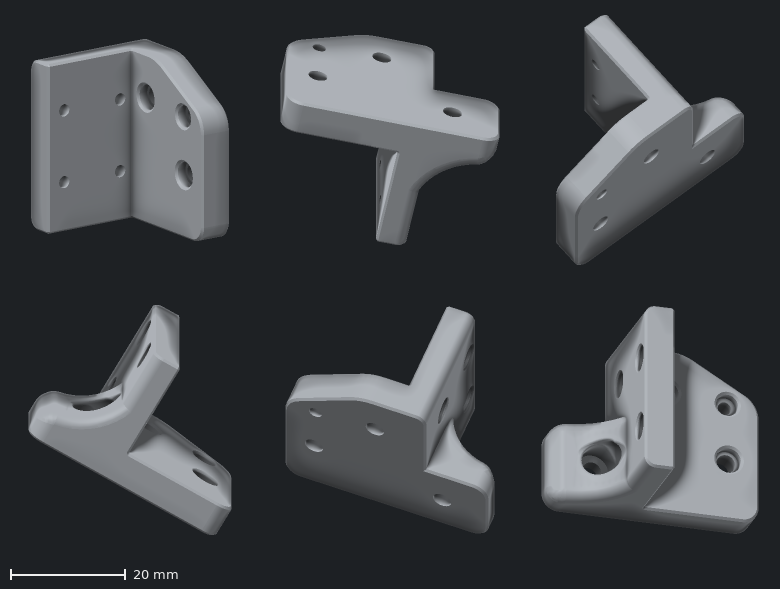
import cadquery as cq
import math


LENGTH = 38.0
DEPTH = 24.0
HEIGHT = 30.74
EDGE_CHAMFER = 0.4

PICK_MARGIN = 0.1

PLATE_LEFT = 11.6
PLATE_RIGHT = 17.0
PLATE_ROUND = 2.0
INNER_CORNER_ROUND = 0.2

FLANGE_THICKNESS = 6.0
SLOPE_ANGLE = math.radians(30)
SLOPE_START_X = 21.75
SHOULDER_RADIUS = 8.5
OUTER_CORNER_RADIUS = 5.0
LOWER_CORNER_RADIUS = 3.0

WING_HEIGHT = 15.0
WING_CORNER_RADIUS = 3.0
WING_NOSE_Y = -3.83
WING_ARC_START = (2.15, -5.98)
WING_ARC_CENTER = (0.85, -17.5)
WING_EDGE_ROUND = 2.0

SCREW_X = 8.5
SCREW_Z = 7.5
SCREW_DIAMETER = 3.4
SCREW_HEAD_DIAMETER = 6.0
SCREW_SEAT_Y = -2.5

FLANGE_HOLES = [
    (21.1, 22.8, 3.4, 4.6),
    (32.5, 11.4, 3.4, 4.6),
    (32.25, 21.9, 2.4, 4.0),
]
FLANGE_COUNTERBORE_DEPTH = 2.0

INSERT_FIRST_Y = -8.5
INSERT_FIRST_Z = 8.95
INSERT_COLUMNS = 2
INSERT_ROWS = 2
INSERT_PITCH_Y = 12.0
INSERT_PITCH_Z = 13.0
INSERT_MOUTH_DIAMETER = 5.1
INSERT_TOP_DIAMETER = 4.5
INSERT_BOTTOM_DIAMETER = 3.8
INSERT_SEAT_DIAMETER = 3.0
INSERT_BORE_DIAMETER = 2.2
INSERT_STRAIGHT_DEPTH = 0.8
INSERT_DEPTH = 1.35
INSERT_FLOOR_X = PLATE_LEFT + INSERT_DEPTH
OPENING_ROUND = 0.4


def flange_outline():
    """Rectangle with a rounded shoulder sloping down to the outer corner."""
    sin_a = math.sin(SLOPE_ANGLE)
    cos_a = math.cos(SLOPE_ANGLE)
    shoulder_center = (SLOPE_START_X, HEIGHT - SHOULDER_RADIUS)

    def on_shoulder(angle):
        return (
            shoulder_center[0] + SHOULDER_RADIUS * math.sin(angle),
            shoulder_center[1] + SHOULDER_RADIUS * math.cos(angle),
        )

    slope_top = on_shoulder(SLOPE_ANGLE)
    corner_center_x = LENGTH - OUTER_CORNER_RADIUS
    slope_end_x = corner_center_x + OUTER_CORNER_RADIUS * sin_a
    slope_end_z = slope_top[1] - (slope_end_x - slope_top[0]) * math.tan(SLOPE_ANGLE)
    corner_center_z = slope_end_z - OUTER_CORNER_RADIUS * cos_a
    return (
        cq.Workplane("XZ")
        .moveTo(PLATE_LEFT, 0)
        .lineTo(PLATE_LEFT, HEIGHT)
        .lineTo(SLOPE_START_X, HEIGHT)
        .threePointArc(on_shoulder(SLOPE_ANGLE / 2), slope_top)
        .lineTo(slope_end_x, slope_end_z)
        .threePointArc(
            (corner_center_x + OUTER_CORNER_RADIUS * cos_a, corner_center_z + OUTER_CORNER_RADIUS * sin_a),
            (LENGTH, corner_center_z),
        )
        .lineTo(LENGTH, LOWER_CORNER_RADIUS)
        .radiusArc((LENGTH - LOWER_CORNER_RADIUS, 0), LOWER_CORNER_RADIUS)
        .close()
    )


def make_bracket():
    """Plate and flange joined into an angle, with the edges of its front and right side chamfered."""
    flange = flange_outline().extrude(FLANGE_THICKNESS)
    plate = cq.Workplane("XY").box(PLATE_RIGHT - PLATE_LEFT, DEPTH, HEIGHT, centered=False)
    plate = plate.translate((PLATE_LEFT, -DEPTH, 0))
    angle = flange.union(plate)
    angle = angle.edges("|Y and <X").fillet(PLATE_ROUND)
    inner_corner = cq.selectors.NearestToPointSelector((PLATE_RIGHT, -FLANGE_THICKNESS, HEIGHT / 2))
    angle = angle.edges("|Z").edges(inner_corner).fillet(INNER_CORNER_ROUND)
    flange_front = -FLANGE_THICKNESS + PICK_MARGIN
    right_side = cq.selectors.BoxSelector(
        (PLATE_RIGHT - PICK_MARGIN, -DEPTH + PICK_MARGIN, -PICK_MARGIN),
        (LENGTH + PICK_MARGIN, flange_front, HEIGHT + PICK_MARGIN),
    )
    outer_end = cq.selectors.BoxSelector(
        (LENGTH - PICK_MARGIN, -DEPTH, 0),
        (LENGTH + PICK_MARGIN, flange_front, HEIGHT),
    )
    chamfered = angle.faces("<Y").edges()
    chamfered = chamfered.add(angle.edges(right_side).edges("not |Z"))
    chamfered = chamfered.add(angle.edges("|Z").edges(outer_end))
    return chamfered.chamfer(EDGE_CHAMFER)


def make_wing():
    """Block with a swept-in front that runs into the plate."""
    start_dx = WING_ARC_START[0] - WING_ARC_CENTER[0]
    start_dy = WING_ARC_START[1] - WING_ARC_CENTER[1]
    radius = math.hypot(start_dx, start_dy)
    mid_angle = math.atan2(start_dy, start_dx) / 2
    arc_mid = (
        WING_ARC_CENTER[0] + radius * math.cos(mid_angle),
        WING_ARC_CENTER[1] + radius * math.sin(mid_angle),
    )
    arc_end = (WING_ARC_CENTER[0] + radius, WING_ARC_CENTER[1])
    root_x = arc_end[0] + WING_EDGE_ROUND + PICK_MARGIN
    wing = (
        cq.Workplane("XY")
        .lineTo(0, WING_NOSE_Y)
        .lineTo(*WING_ARC_START)
        .threePointArc(arc_mid, arc_end)
        .lineTo(root_x, arc_end[1])
        .lineTo(root_x, 0)
        .close()
        .extrude(WING_HEIGHT)
    )
    wing = wing.edges("|Y and <X").fillet(WING_CORNER_RADIUS)
    nose = cq.selectors.NearestToPointSelector((*WING_ARC_START, WING_HEIGHT / 2))
    wing = wing.edges(nose).fillet(WING_EDGE_ROUND)
    front_rim = cq.selectors.BoxSelector(
        (-PICK_MARGIN, arc_end[1], -PICK_MARGIN),
        (arc_end[0] - PICK_MARGIN, WING_NOSE_Y + PICK_MARGIN, WING_HEIGHT + PICK_MARGIN),
    )
    return wing.edges(front_rim).fillet(WING_EDGE_ROUND)


def cylinder_along_y(x, z, y_start, length, diameter):
    return cq.Workplane(
        cq.Solid.makeCylinder(diameter / 2, length, cq.Vector(x, y_start, z), cq.Vector(0, 1, 0))
    )


def cylinder_along_x(y, z, x_start, length, diameter):
    return cq.Workplane(
        cq.Solid.makeCylinder(diameter / 2, length, cq.Vector(x_start, y, z), cq.Vector(1, 0, 0))
    )


def cone_along_x(y, z, x_start, length, start_diameter, end_diameter):
    return cq.Workplane(
        cq.Solid.makeCone(
            start_diameter / 2, end_diameter / 2, length, cq.Vector(x_start, y, z), cq.Vector(1, 0, 0)
        )
    )


def cut_flange_hole(body, x, z, bore, counterbore):
    """Through hole with a chamfered counterbore in the flange front."""
    front = -FLANGE_THICKNESS
    lead_in = cq.Solid.makeCone(
        counterbore / 2 + EDGE_CHAMFER,
        counterbore / 2,
        EDGE_CHAMFER,
        cq.Vector(x, front, z),
        cq.Vector(0, 1, 0),
    )
    body = body.cut(cylinder_along_y(x, z, front, FLANGE_THICKNESS, bore))
    body = body.cut(cylinder_along_y(x, z, front, FLANGE_COUNTERBORE_DEPTH, counterbore))
    return body.cut(cq.Workplane(lead_in))


def cut_insert_bore(body, y, z):
    """Bore through the plate, countersunk where it leaves the pocket floor."""
    countersink = (INSERT_SEAT_DIAMETER - INSERT_BORE_DIAMETER) / 2
    body = body.cut(
        cylinder_along_x(y, z, PLATE_LEFT, PLATE_RIGHT - PLATE_LEFT, INSERT_BORE_DIAMETER)
    )
    return body.cut(
        cone_along_x(y, z, INSERT_FLOOR_X, countersink, INSERT_SEAT_DIAMETER, INSERT_BORE_DIAMETER)
    )


def cut_insert_pocket(body, y, z):
    """Chamfered mouth, straight stretch and taper down to the pocket floor."""
    lead_in = (INSERT_MOUTH_DIAMETER - INSERT_TOP_DIAMETER) / 2
    taper_x = PLATE_LEFT + INSERT_STRAIGHT_DEPTH
    taper_length = INSERT_DEPTH - INSERT_STRAIGHT_DEPTH
    body = body.cut(
        cone_along_x(y, z, PLATE_LEFT, lead_in, INSERT_MOUTH_DIAMETER, INSERT_TOP_DIAMETER)
    )
    body = body.cut(cylinder_along_x(y, z, PLATE_LEFT, INSERT_STRAIGHT_DEPTH, INSERT_TOP_DIAMETER))
    return body.cut(
        cone_along_x(y, z, taper_x, taper_length, INSERT_TOP_DIAMETER, INSERT_BOTTOM_DIAMETER)
    )


def cut_wing_openings(body):
    """Screw hole with its head pocket, crossed by the straight way in to the insert behind the wing."""
    body = body.cut(
        cylinder_along_y(SCREW_X, SCREW_Z, -DEPTH, DEPTH + SCREW_SEAT_Y, SCREW_HEAD_DIAMETER)
    )
    body = body.cut(
        cylinder_along_x(INSERT_FIRST_Y, INSERT_FIRST_Z, 0, INSERT_FLOOR_X, INSERT_BOTTOM_DIAMETER)
    )
    rim_zone = cq.selectors.BoxSelector(
        (WING_ARC_START[0] + WING_EDGE_ROUND, -DEPTH, WING_EDGE_ROUND + PICK_MARGIN),
        (
            PLATE_LEFT - PICK_MARGIN,
            SCREW_SEAT_Y - PICK_MARGIN,
            WING_HEIGHT - WING_EDGE_ROUND - PICK_MARGIN,
        ),
    )
    body = body.edges(rim_zone).edges("not %LINE").fillet(OPENING_ROUND)
    return body.cut(cylinder_along_y(SCREW_X, SCREW_Z, -DEPTH, DEPTH, SCREW_DIAMETER))


def cut_inserts(body):
    """Grid of insert holes; the one behind the wing has no pocket of its own."""
    for column in range(INSERT_COLUMNS):
        for row in range(INSERT_ROWS):
            y = INSERT_FIRST_Y - column * INSERT_PITCH_Y
            z = INSERT_FIRST_Z + row * INSERT_PITCH_Z
            body = cut_insert_bore(body, y, z)
            behind_wing = column == 0 and row == 0
            if not behind_wing:
                body = cut_insert_pocket(body, y, z)
    return body


result = make_bracket().union(make_wing())
result = result.faces(">Y").edges().chamfer(EDGE_CHAMFER)
result = cut_wing_openings(result)
for hole in FLANGE_HOLES:
    result = cut_flange_hole(result, *hole)
result = cut_inserts(result)